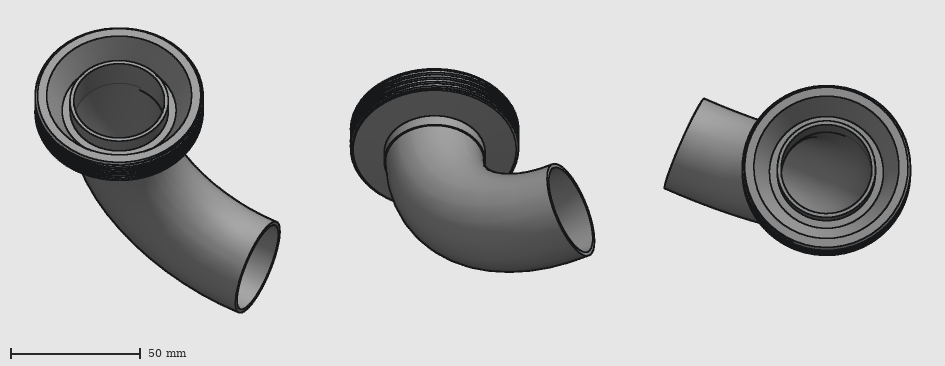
import cadquery as cq

flange_radius = 32.5
edge_chamfer = 1.0
rim_height = 12.0
flange_height = 13.66

seat_top_radius = 28.0
seat_floor_radius = 22.0
seat_depth = 10.2

pipe_radius = 19.0
bore_radius = 17.5
rim_depth = 3.6
collar_radius = 19.5
collar_length = 5.0
collar_bottom = -(flange_height + collar_length)

bend_radius = 60.0
elbow_overlap = 2.0
elbow_top = collar_bottom + elbow_overlap

thread_pitch = 2.5
thread_depth = 0.7
groove_mouth = 1.1
groove_root = 0.4
groove_clearance = 0.4
thread_turns = 5
thread_start = -12.675
thread_start_angle = 90.0


def make_body():
    """Flange, seat, inner pipe and collar as one turned profile."""
    chamfer_radius = flange_radius - edge_chamfer
    profile = [
        (bore_radius, -rim_depth),
        (pipe_radius, -rim_depth),
        (pipe_radius, -seat_depth),
        (seat_floor_radius, -seat_depth),
        (seat_top_radius, 0),
        (chamfer_radius, 0),
        (flange_radius, -edge_chamfer),
        (flange_radius, edge_chamfer - rim_height),
        (chamfer_radius, -rim_height),
        (collar_radius, -flange_height),
        (collar_radius, collar_bottom),
        (bore_radius, collar_bottom),
    ]
    return cq.Workplane("XZ").polyline(profile).close().revolve(360, (0, 0, 0), (0, 1, 0))


def make_elbow():
    """Hollow quarter bend from straight down to the +X direction."""
    return (
        cq.Workplane("XY", origin=(0, 0, elbow_top))
        .circle(pipe_radius)
        .circle(bore_radius)
        .revolve(90, (bend_radius, 1, 0), (bend_radius, 0, 0))
    )


def make_thread_groove():
    """Helical cutter whose section narrows from the mouth to the root."""
    root_radius = flange_radius - thread_depth
    outer_radius = flange_radius + groove_clearance
    flank_slope = (groove_mouth - groove_root) / thread_depth
    outer_width = groove_mouth + flank_slope * groove_clearance
    section = [
        (root_radius, thread_start - groove_root / 2),
        (outer_radius, thread_start - outer_width / 2),
        (outer_radius, thread_start + outer_width / 2),
        (root_radius, thread_start + groove_root / 2),
    ]
    helix = cq.Wire.makeHelix(
        thread_pitch, thread_turns * thread_pitch, root_radius, cq.Vector(0, 0, thread_start)
    )
    groove = cq.Workplane("XZ").polyline(section).close().sweep(cq.Workplane(helix), isFrenet=True)
    return groove.rotate((0, 0, 0), (0, 0, 1), thread_start_angle)


result = make_body().cut(make_thread_groove()).union(make_elbow())